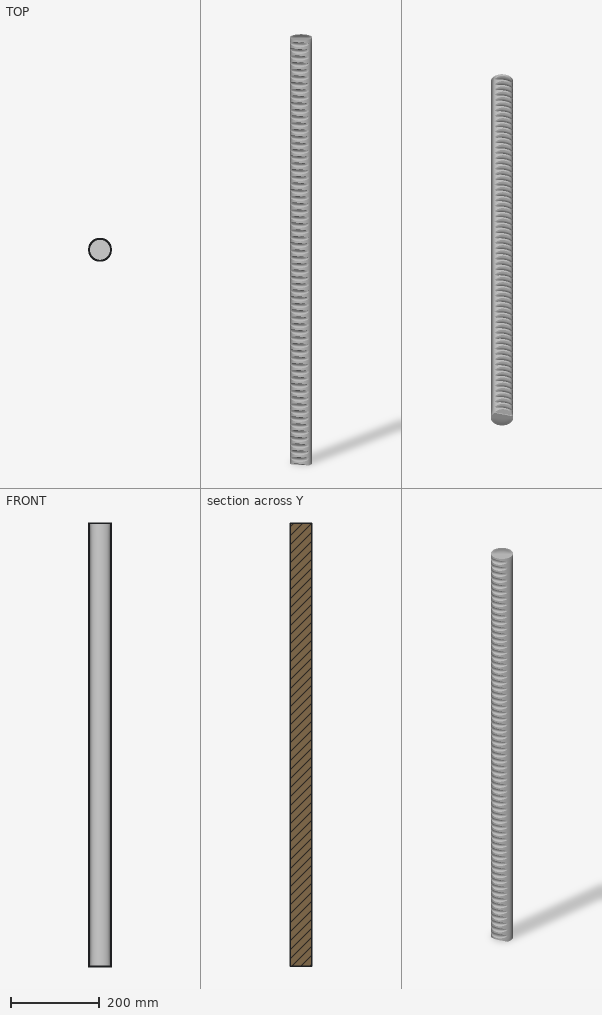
import cadquery as cq
import math

bar_diameter = 50.0
bar_length = 1000.0
overall_height = 49.7

module = 5.0
pressure_angle = math.radians(20)
addendum = module
dedendum = 1.25 * module
pitch = math.pi * module

bar_radius = bar_diameter / 2
tip_y = overall_height - bar_radius
pitch_line_y = tip_y - addendum
root_y = pitch_line_y - dedendum
cut_margin = 1.0


def space_half_width(y):
    """Half the width along Z of a tooth space at height y."""
    return pitch / 4 + (y - pitch_line_y) * math.tan(pressure_angle)


def make_bar():
    """Round bar with a narrow flat along the tooth tips."""
    bar = cq.Workplane("XY").circle(bar_radius).extrude(bar_length)
    above_tips = (
        cq.Workplane("XY")
        .box(bar_diameter, bar_diameter, bar_length, centered=(True, False, False))
        .translate((0, tip_y, 0))
    )
    return bar.cut(above_tips)


def make_tooth_space(center_z):
    """Trapezoidal cutter across the full width of the bar, centred at center_z."""
    top_y = bar_radius + cut_margin
    root_half = space_half_width(root_y)
    top_half = space_half_width(top_y)
    outline = [
        (root_y, center_z - root_half),
        (top_y, center_z - top_half),
        (top_y, center_z + top_half),
        (root_y, center_z + root_half),
    ]
    cutter_half_length = bar_radius + cut_margin
    return cq.Workplane("YZ").polyline(outline).close().extrude(cutter_half_length, both=True)


space_count = math.floor(bar_length / pitch) + 1
tooth_spaces = [make_tooth_space(i * pitch).val() for i in range(space_count)]

result = cq.Workplane("XY").newObject([make_bar().val().cut(*tooth_spaces)])